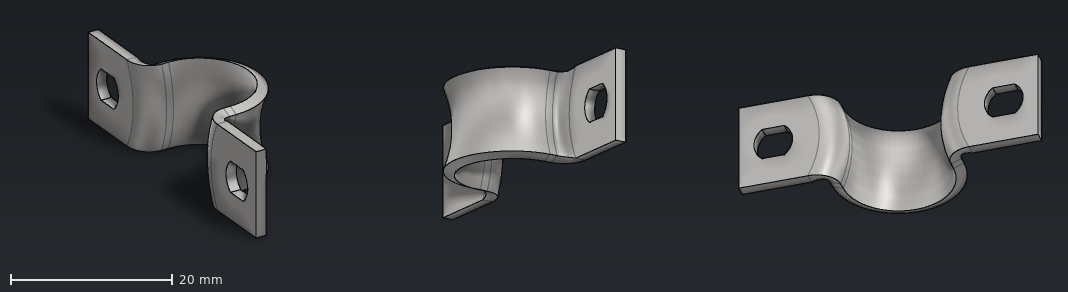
import cadquery as cq
import math

length = 39.0
width = 12.0
throat_radius = 6.0
flare_radius = 16.0
bend_radius = 3.0
thickness = bend_radius / 2
leg_length = 1.0
hole_spacing = 30.03
hole_width = 5.0
hole_height = 4.33
hole_flat = 2.9

half_width = width / 2
arch_y = bend_radius + leg_length
flare_x = throat_radius + flare_radius
foot_edge_radius = flare_radius - bend_radius
flare_drop = flare_radius - math.sqrt(flare_radius**2 - half_width**2)
edge_radius = throat_radius + flare_drop


def flare_arc(y):
    """Concave cross-section of the inside face at height y."""
    return cq.Edge.makeThreePointArc(
        cq.Vector(edge_radius, y, -half_width),
        cq.Vector(throat_radius, y, 0),
        cq.Vector(edge_radius, y, half_width),
    )


def thickened(sheet, toward):
    """Give a sheet the strap thickness, growing toward a direction."""
    side = 1 if sheet.normalAt().dot(cq.Vector(*toward)) > 0 else -1
    return sheet.thicken(side * thickness)


def make_arch():
    """Half turn of the flared section about the arch axis."""
    rim_top = cq.Vector(edge_radius, arch_y, half_width)
    axis_top = cq.Vector(0, arch_y, half_width)
    axis_bottom = cq.Vector(0, arch_y, -half_width)
    rim_bottom = cq.Vector(edge_radius, arch_y, -half_width)
    section = cq.Wire.assembleEdges([
        flare_arc(arch_y),
        cq.Edge.makeLine(rim_top, axis_top),
        cq.Edge.makeLine(axis_top, axis_bottom),
        cq.Edge.makeLine(axis_bottom, rim_bottom),
    ])
    core = cq.Solid.revolve(section, [], 180, cq.Vector(0, arch_y, 0), cq.Vector(0, arch_y, 0.4))
    inside = [face for face in core.Faces() if face.geomType() != "PLANE"][0]
    return thickened(inside, (0, 1, 0))


def make_leg():
    """Straight wall joining the arch to a bend."""
    inside = cq.Face.makeRuledSurface(flare_arc(bend_radius), flare_arc(arch_y))
    return thickened(inside, (1, 0, 0))


def make_bend():
    """Quarter bend turned about the flare axis, its ends square to its front face."""
    blank = (
        cq.Workplane("XY")
        .moveTo(throat_radius, bend_radius)
        .radiusArc((throat_radius + bend_radius, 0), -bend_radius)
        .lineTo(flare_x, 0)
        .lineTo(flare_x, bend_radius)
        .close()
        .revolve(180, (flare_x, 0), (flare_x, 1))
        .rotate((flare_x, 0, 0), (flare_x, 1, 0), -90)
    )
    slab = cq.Workplane("XY").box(flare_x, bend_radius, width, centered=(False, False, True))
    front = blank.intersect(slab).faces("%TORUS").val()
    return thickened(front, (1, 1, 0))


def make_foot():
    """Flat foot with a curved inner edge and a hole with two flats."""
    plate = cq.Workplane("XY").box(length / 2, thickness, width, centered=(False, False, True))
    bend_edge = (
        cq.Workplane("XZ", origin=(flare_x, 0, 0))
        .circle(foot_edge_radius)
        .extrude(-thickness)
    )
    flat_x = hole_flat / 2
    side_x = hole_width / 2
    top_z = hole_height / 2
    hole = (
        cq.Workplane("XZ", origin=(hole_spacing / 2, 0, 0))
        .moveTo(-flat_x, top_z)
        .lineTo(flat_x, top_z)
        .threePointArc((side_x, 0), (flat_x, -top_z))
        .lineTo(-flat_x, -top_z)
        .threePointArc((-side_x, 0), (-flat_x, top_z))
        .close()
        .extrude(-thickness)
    )
    return plate.intersect(bend_edge).cut(hole).val()


side_pieces = [make_leg(), make_bend(), make_foot()]
result = cq.Workplane("XY").newObject([make_arch()])
for piece in side_pieces:
    result = result.union(cq.Workplane(obj=piece))
    result = result.union(cq.Workplane(obj=piece.mirror("YZ")))